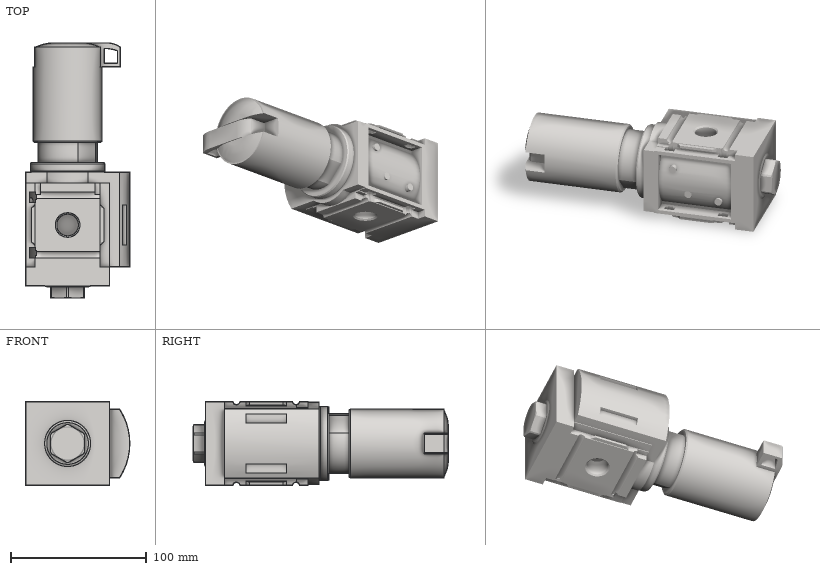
import cadquery as cq
import math


block_size = 62.0
block_half = block_size / 2
block_front_y = -45.0
block_back_y = block_half

recess_floor_z = 25.8
recess_wall_x = 24.05
notch_floor_z = 26.4
notch_inner_x = 20.1
notch_front_y = 22.4

groove_y = 22.0
groove_width = 5.1
groove_depth = 2.3
slot_outer_x = 28.0
slot_inner_x = 23.7
slot_near_y = 16.7
slot_far_y = 24.3
slot_notch_x = 22.8
slot_notch_near_y = 18.75
slot_notch_far_y = 22.4
lug_reach = 2.75
lug_half_length = 15.0
lug_top_z = 30.5
lug_rim_z = 28.6
lug_root_z = 27.8

port_diameter = 16.0
port_mouth_diameter = 18.2
port_chamfer = (port_mouth_diameter - port_diameter) / 2
port_depth = 15.0

cover_half_height = 25.3
cover_back_y = 39.0
cover_front_y = -block_half
display_radius = 46.0
collar_half_width = 15.1
collar_crown_z = 30.5
display_half_height = 15.2
display_step_x = 40.5
display_half_length = 14.8

window_half_height = 23.0
window_half_length = 28.0
drum_radius = 29.0
drum_half_height = 20.7
drum_edge_x = -math.sqrt(drum_radius**2 - drum_half_height**2)
pin_diameter = 5.5
pins = [(17.4, 11.0, -29.5), (5.9, -8.5, -28.4), (-17.5, -11.0, -29.5)]

plug_end_y = -54.0
plug_across_flats = 25.0
plug_corner_diameter = 28.0
plug_end_diameter = 24.6
plug_end_chamfer = 0.5
washer_base_radius = 17.0
washer_top_radius = 15.4
washer_height = 0.7

flange_radius = 55.0 / 2
flange_back_y = 46.2
flange_chamfer_length = 1.0
flange_chamfer_width = 0.6
neck_radius = 22.0
neck_flat_distance = 20.0
knob_radius = 51.0 / 2
knob_front_y = 61.0
knob_chamfer = 1.1
knob_shoulder_y = 131.4
knob_top_y = 134.5
knob_crown_radius = 24.5
knob_flat_radius = 12.0
knob_slot_half_height = 7.4
knob_slot_y = 116.7

slide_half_thickness = 6.9
slide_left_x = -11.0
slide_right_x = 38.9
slide_flat_left_x = 0.0
slide_flat_right_x = 29.1
eye_left_x = 27.1
eye_right_x = 36.7
eye_front_y = 119.5
eye_back_left_y = 130.3
eye_back_right_y = 128.6


def box(x0, x1, y0, y1, z0, z1):
    return cq.Workplane("XY").box(x1 - x0, y1 - y0, z1 - z0, centered=False).translate((x0, y0, z0))


def along_y(radius, y0, y1):
    return cq.Workplane("XZ", origin=(0, y0, 0)).circle(radius).extrude(y0 - y1)


def mirrored_in_z(shape):
    return shape.union(shape.mirror("XY"))


def mirrored_in_x_and_z(shape):
    return mirrored_in_z(shape.union(shape.mirror("YZ")))


def shoulder_arc_point(flat_end, drop_end):
    """Point halfway along the arc that leaves a flat end tangentially and drops to a shoulder."""
    run = drop_end[0] - flat_end[0]
    drop = flat_end[1] - drop_end[1]
    radius = (run**2 + drop**2) / (2 * drop)
    half_angle = math.asin(abs(run) / radius) / 2
    side = math.copysign(1, run)
    return (
        flat_end[0] + side * radius * math.sin(half_angle),
        flat_end[1] - radius * (1 - math.cos(half_angle)),
    )


def make_block():
    return box(-block_half, block_half, block_front_y, block_back_y, -block_half, block_half)


def corner_recesses():
    recess = box(recess_wall_x, block_half, -block_half, block_back_y, recess_floor_z, block_half)
    notch = box(notch_inner_x, block_half, notch_front_y, block_back_y, notch_floor_z, block_half)
    return mirrored_in_x_and_z(recess.union(notch))


def clamp_grooves():
    groove_radius = ((groove_width / 2) ** 2 + groove_depth**2) / (2 * groove_depth)
    groove_axis_z = block_half - groove_depth + groove_radius
    grooves = (
        cq.Workplane("YZ", origin=(-block_half, 0, 0))
        .pushPoints([(groove_y, groove_axis_z), (-groove_y, groove_axis_z)])
        .circle(groove_radius)
        .extrude(block_size)
    )
    return mirrored_in_z(grooves)


def clamp_slots():
    """Slots that run down through the cover into the window, on the -X side."""
    slot = box(-slot_outer_x, -slot_inner_x, slot_near_y, slot_far_y, window_half_height, block_half)
    notch = box(
        -slot_inner_x, -slot_notch_x, slot_notch_near_y, slot_notch_far_y, window_half_height, block_half
    )
    one_slot = slot.union(notch)
    return mirrored_in_z(one_slot.union(one_slot.mirror("XZ")))


def clamp_lugs():
    """Tapered lugs on the recess walls, beside the ports."""
    rim_x = recess_wall_x + lug_reach
    root_x = recess_wall_x
    profile = (
        cq.Workplane("XZ", origin=(0, lug_half_length, 0))
        .polyline([(root_x, lug_top_z), (rim_x, lug_top_z), (rim_x, lug_rim_z), (root_x, lug_root_z)])
        .close()
        .extrude(2 * lug_half_length)
    )
    rim_half_length = lug_half_length - lug_reach
    outline = (
        cq.Workplane("XY", origin=(0, 0, lug_root_z))
        .polyline(
            [
                (root_x, -lug_half_length),
                (rim_x, -rim_half_length),
                (rim_x, rim_half_length),
                (root_x, lug_half_length),
            ]
        )
        .close()
        .extrude(lug_top_z - lug_root_z)
    )
    return mirrored_in_x_and_z(profile.intersect(outline))


def ports():
    port = (
        cq.Workplane("XY", origin=(0, 0, block_half - port_depth))
        .circle(port_diameter / 2)
        .extrude(port_depth)
    )
    mouth = (
        cq.Workplane("XY", origin=(0, 0, block_half))
        .circle(port_mouth_diameter / 2)
        .workplane(offset=-port_chamfer)
        .circle(port_diameter / 2)
        .loft()
    )
    return mirrored_in_z(port.union(mouth))


def make_cover():
    round_start_x = math.sqrt(display_radius**2 - cover_half_height**2)
    cover = (
        cq.Workplane("XZ", origin=(0, cover_back_y, 0))
        .moveTo(-block_half, -cover_half_height)
        .lineTo(round_start_x, -cover_half_height)
        .threePointArc((display_radius, 0), (round_start_x, cover_half_height))
        .lineTo(-block_half, cover_half_height)
        .close()
        .extrude(cover_back_y - cover_front_y)
    )
    collar = (
        cq.Workplane("XZ", origin=(0, cover_back_y, 0))
        .moveTo(-collar_half_width, cover_half_height)
        .threePointArc((0, collar_crown_z), (collar_half_width, cover_half_height))
        .lineTo(collar_half_width, -cover_half_height)
        .threePointArc((0, -collar_crown_z), (-collar_half_width, -cover_half_height))
        .close()
        .extrude(cover_back_y - block_back_y)
    )
    step = box(
        display_step_x,
        display_radius,
        -display_half_length,
        display_half_length,
        display_half_height,
        cover_half_height,
    )
    return cover.union(collar).cut(mirrored_in_z(step))


def side_window():
    """Window opening with the drum surface and its pins left standing in it."""
    opening = box(
        -block_half,
        drum_edge_x,
        -window_half_length,
        window_half_length,
        -window_half_height,
        window_half_height,
    )
    window = opening.cut(along_y(drum_radius, -window_half_length, window_half_length))
    for pin_y, pin_z, pin_end_x in pins:
        pin = (
            cq.Workplane("YZ", origin=(pin_end_x, pin_y, pin_z))
            .circle(pin_diameter / 2)
            .extrude(drum_edge_x - pin_end_x)
        )
        window = window.cut(pin)
    return window


def make_plug():
    hexagon = (
        cq.Workplane("XZ", origin=(0, block_front_y, 0))
        .polygon(6, plug_across_flats, circumscribed=True)
        .extrude(block_front_y - plug_end_y)
    )
    corner_radius = plug_corner_diameter / 2
    envelope = (
        cq.Workplane("XY")
        .polyline(
            [
                (0, plug_end_y),
                (plug_end_diameter / 2, plug_end_y),
                (corner_radius, plug_end_y + plug_end_chamfer),
                (corner_radius, block_front_y),
                (0, block_front_y),
            ]
        )
        .close()
        .revolve(360, (0, 0, 0), (0, 1, 0))
    )
    washer = (
        cq.Workplane("XZ", origin=(0, block_front_y, 0))
        .circle(washer_base_radius)
        .workplane(offset=washer_height)
        .circle(washer_top_radius)
        .loft()
    )
    return hexagon.intersect(envelope).union(washer)


def make_flange():
    rim_radius = flange_radius - flange_chamfer_width
    return (
        cq.Workplane("XY")
        .polyline(
            [
                (0, cover_back_y),
                (rim_radius, cover_back_y),
                (flange_radius, cover_back_y + flange_chamfer_length),
                (flange_radius, flange_back_y - flange_chamfer_length),
                (rim_radius, flange_back_y),
                (0, flange_back_y),
            ]
        )
        .close()
        .revolve(360, (0, 0, 0), (0, 1, 0))
    )


def make_neck():
    """Round neck with two opposite flats that face (+X, +Z) and (-X, -Z)."""
    length = knob_front_y - flange_back_y
    between_flats = (
        cq.Workplane("XY")
        .box(2 * neck_radius, length, 2 * neck_flat_distance)
        .rotate((0, 0, 0), (0, 1, 0), 45)
        .translate((0, flange_back_y + length / 2, 0))
    )
    return along_y(neck_radius, flange_back_y, knob_front_y).intersect(between_flats)


def make_knob():
    flat_end = (knob_flat_radius, knob_top_y)
    crown_end = (knob_crown_radius, knob_shoulder_y)
    knob = (
        cq.Workplane("XY")
        .moveTo(0, knob_front_y)
        .lineTo(knob_radius - knob_chamfer, knob_front_y)
        .lineTo(knob_radius, knob_front_y + knob_chamfer)
        .lineTo(knob_radius, knob_shoulder_y)
        .lineTo(*crown_end)
        .threePointArc(shoulder_arc_point(flat_end, crown_end), flat_end)
        .lineTo(0, knob_top_y)
        .close()
        .revolve(360, (0, 0, 0), (0, 1, 0))
    )
    slot = box(
        -knob_radius, knob_radius, knob_slot_y, knob_top_y, -knob_slot_half_height, knob_slot_half_height
    )
    return knob.cut(slot)


def make_regulator():
    block = make_block().cut(corner_recesses()).cut(clamp_grooves())
    body = block.union(make_cover()).union(clamp_lugs())
    body = body.cut(ports()).cut(clamp_slots()).cut(side_window())
    return body.union(make_plug()).union(make_flange()).union(make_neck()).union(make_knob())


def make_locking_slide():
    """Bar that lies in the knob slot with side clearance and carries the padlock eye beyond the knob."""
    left_end = (slide_left_x, knob_shoulder_y)
    left_flat = (slide_flat_left_x, knob_top_y)
    right_flat = (slide_flat_right_x, knob_top_y)
    right_end = (slide_right_x, knob_shoulder_y)
    bar = (
        cq.Workplane("XY", origin=(0, 0, -slide_half_thickness))
        .moveTo(slide_left_x, knob_slot_y)
        .lineTo(slide_right_x, knob_slot_y)
        .lineTo(*right_end)
        .threePointArc(shoulder_arc_point(right_flat, right_end), right_flat)
        .lineTo(*left_flat)
        .threePointArc(shoulder_arc_point(left_flat, left_end), left_end)
        .close()
        .extrude(2 * slide_half_thickness)
    )
    eye_back_left = (eye_left_x, eye_back_left_y)
    eye_back_right = (eye_right_x, eye_back_right_y)
    eye = (
        cq.Workplane("XY", origin=(0, 0, -slide_half_thickness))
        .moveTo(eye_left_x, eye_front_y)
        .lineTo(eye_right_x, eye_front_y)
        .lineTo(*eye_back_right)
        .threePointArc(shoulder_arc_point(eye_back_left, eye_back_right), eye_back_left)
        .close()
        .extrude(2 * slide_half_thickness)
    )
    return bar.cut(eye)


regulator = make_regulator()
locking_slide = make_locking_slide()
result = cq.Compound.makeCompound([regulator.solids().val(), locking_slide.solids().val()])